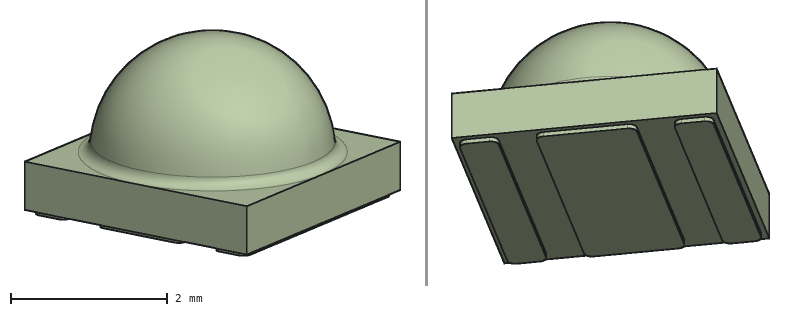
import cadquery as cq
import math

base_side = 3.45
total_height = 2.26
pad_height = 0.062
base_height = 0.645
base_top = pad_height + base_height

lens_radius = 1.573
rim_radius = 1.718
lens_center_z = total_height - lens_radius

pad_length = 3.3
pad_corner_radius = 0.105
side_pad_width = 0.505
center_pad_width = 1.305
side_pad_x = (pad_length - side_pad_width) / 2


def make_pad(center_x, width):
    """Contact pad with rounded vertical corners, standing on Z = 0."""
    return (
        cq.Workplane("XY")
        .center(center_x, 0)
        .rect(width, pad_length)
        .extrude(pad_height)
        .edges("|Z")
        .fillet(pad_corner_radius)
    )


def make_lens():
    """Dome whose blend is tangent to both the sphere and the base top."""
    rise = base_top - lens_center_z
    blend_radius = (rim_radius**2 + rise**2 - lens_radius**2) / (2 * (lens_radius - rise))
    blend_center_z = base_top + blend_radius
    tangent_angle = math.atan2(blend_center_z - lens_center_z, rim_radius)
    blend_angle = (tangent_angle - math.pi / 2) / 2 - math.pi / 2
    dome_angle = (tangent_angle + math.pi / 2) / 2

    def on_sphere(angle):
        return lens_radius * math.cos(angle), lens_center_z + lens_radius * math.sin(angle)

    blend_middle = (
        rim_radius + blend_radius * math.cos(blend_angle),
        blend_center_z + blend_radius * math.sin(blend_angle),
    )
    return (
        cq.Workplane("XZ")
        .moveTo(0, pad_height)
        .lineTo(rim_radius, pad_height)
        .lineTo(rim_radius, base_top)
        .threePointArc(blend_middle, on_sphere(tangent_angle))
        .threePointArc(on_sphere(dome_angle), (0, total_height))
        .close()
        .revolve(360, (0, 0, 0), (0, 1, 0))
    )


base = (
    cq.Workplane("XY")
    .workplane(offset=pad_height)
    .rect(base_side, base_side)
    .extrude(base_height)
)

result = base.union(make_lens())
for center_x, width in [
    (-side_pad_x, side_pad_width),
    (0, center_pad_width),
    (side_pad_x, side_pad_width),
]:
    result = result.union(make_pad(center_x, width))